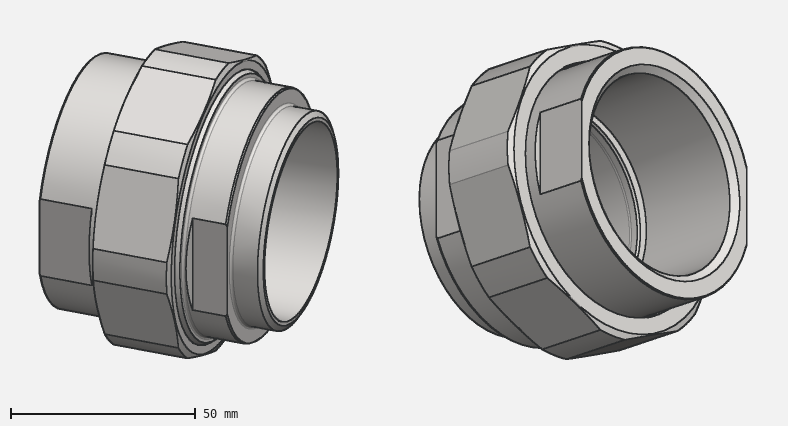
import cadquery as cq
import math

length = 63.0
body_diameter = 70.5
body_end_diameter = 70.0
body_radius = body_diameter / 2
thread_diameter = 75.9

inlet_end = 32.3
inlet_bore = 56.65
inlet_edge_length = 0.3
mouth_diameter = 60.6
mouth_depth = 1.8
inlet_flat_length = 15.15
inlet_flat_offset = 33.2

nut_start = 18.2
nut_end = 40.9
nut_corner_diameter = 84.7
nut_across_flats = 81.45
nut_sides = 8
nut_face_diameter = 80.9
nut_chamfer_length = 0.7
nut_lip_bore = 71.6
nut_lip_end = 22.9

outlet_start = 34.2
outlet_bore = 55.1
outlet_entry_bore = 55.3
outlet_entry_length = 3.0
outlet_entry_taper = 0.6
outlet_mouth_diameter = 56.1
outlet_mouth_depth = 0.8
collar_end = 42.1
collar_diameter = 74.0
runout_length = 1.6
step_fillet = 0.8
shoulder = 54.0
outlet_edge_length = 0.5
tail_diameter = 60.6
tail_chamfer_length = 1.0
tail_end_diameter = 57.2
outlet_flat_start = 43.95
outlet_flat_offset = 32.3
outlet_flat_run = 0.8


def revolve(profile):
    """Turn a closed (X, radius) profile around the X axis."""
    return profile.close().revolve(360, (0, 0, 0), (1, 0, 0))


def flat_cutters(profile_points):
    """Cutters for a flat on both the -Y and +Y sides, from (X, distance) points."""
    cutter = (
        cq.Workplane("XY")
        .polyline(profile_points)
        .close()
        .extrude(body_radius, both=True)
    )
    return cutter.union(cutter.mirror("XZ"))


def make_inlet():
    flange_radius = thread_diameter / 2
    profile = (
        cq.Workplane("XY")
        .moveTo(0, mouth_diameter / 2)
        .lineTo(0, body_end_diameter / 2)
        .lineTo(inlet_edge_length, body_radius)
        .lineTo(nut_lip_end, body_radius)
        .lineTo(nut_lip_end, flange_radius)
        .lineTo(inlet_end, flange_radius)
        .lineTo(inlet_end, inlet_bore / 2)
        .lineTo(mouth_depth, inlet_bore / 2)
    )
    flats = flat_cutters([
        (0, inlet_flat_offset),
        (inlet_flat_length, inlet_flat_offset),
        (inlet_flat_length, body_diameter),
        (0, body_diameter),
    ])
    return revolve(profile).cut(flats)


def make_nut():
    octagon_diameter = nut_across_flats / math.cos(math.pi / nut_sides)
    prism = (
        cq.Workplane("YZ", origin=(nut_start, 0, 0))
        .polygon(nut_sides, octagon_diameter)
        .extrude(nut_end - nut_start)
    )
    corner_radius = nut_corner_diameter / 2
    face_radius = nut_face_diameter / 2
    envelope = revolve(
        cq.Workplane("XY")
        .moveTo(nut_start, nut_lip_bore / 2)
        .lineTo(nut_start, face_radius)
        .lineTo(nut_start + nut_chamfer_length, corner_radius)
        .lineTo(nut_end - nut_chamfer_length, corner_radius)
        .lineTo(nut_end, face_radius)
        .lineTo(nut_end, thread_diameter / 2)
        .lineTo(nut_lip_end, thread_diameter / 2)
        .lineTo(nut_lip_end, nut_lip_bore / 2)
    )
    return prism.intersect(envelope)


def make_outlet():
    tail_radius = tail_diameter / 2
    arc_inset = step_fillet * (1 - math.sqrt(0.5))
    entry_end = outlet_start + outlet_entry_length
    profile = (
        cq.Workplane("XY")
        .moveTo(outlet_start, outlet_mouth_diameter / 2)
        .lineTo(outlet_start, thread_diameter / 2)
        .lineTo(collar_end - runout_length, thread_diameter / 2)
        .lineTo(collar_end, collar_diameter / 2)
        .lineTo(collar_end, body_radius + step_fillet)
        .threePointArc(
            (collar_end + arc_inset, body_radius + arc_inset),
            (collar_end + step_fillet, body_radius),
        )
        .lineTo(shoulder - outlet_edge_length, body_radius)
        .lineTo(shoulder, body_end_diameter / 2)
        .lineTo(shoulder, tail_radius + step_fillet)
        .threePointArc(
            (shoulder + arc_inset, tail_radius + arc_inset),
            (shoulder + step_fillet, tail_radius),
        )
        .lineTo(length - tail_chamfer_length, tail_radius)
        .lineTo(length, tail_end_diameter / 2)
        .lineTo(length, outlet_bore / 2)
        .lineTo(entry_end + outlet_entry_taper, outlet_bore / 2)
        .lineTo(entry_end, outlet_entry_bore / 2)
        .lineTo(outlet_start + outlet_mouth_depth, outlet_entry_bore / 2)
    )
    flats = flat_cutters([
        (outlet_flat_start, outlet_flat_offset),
        (shoulder, outlet_flat_offset),
        (shoulder, body_radius),
        (outlet_flat_start - outlet_flat_run, body_radius),
    ])
    return revolve(profile).cut(flats)


inlet = make_inlet()
nut = make_nut()
outlet = make_outlet()

result = cq.Compound.makeCompound([inlet.val(), nut.val(), outlet.val()])